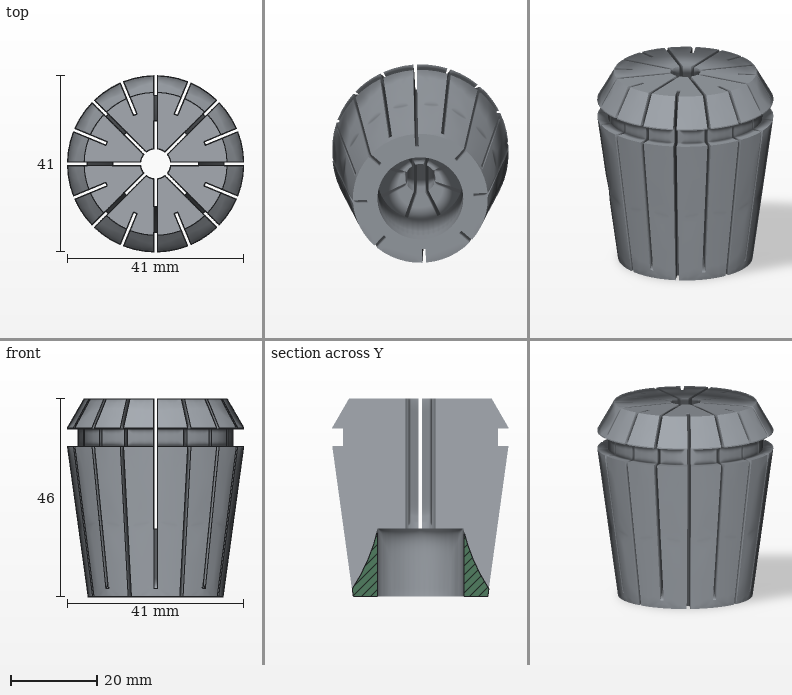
import cadquery as cq
import math


total_height = 46.0
body_height = 34.95
flange_bottom = 39.0
flange_rim = 0.28

bottom_radius = 15.7
rim_diameter = 41.0
rim_radius = rim_diameter / 2
groove_radius = 18.05
nose_half_angle = 30.0

grip_radius = 3.5
clearance_radius = 10.0
clearance_depth = 15.8

slit_width = 0.85
slits_per_set = 8
slit_pitch = 360 / slits_per_set
nose_slit_end_radius = 15.9
nose_slit_end_height = 1.9
saw_radius = 42.3
outer_slit_inner_radius = 12.37
slit_reach = rim_radius + 2.3


def collet_blank():
    nose_base = flange_bottom + flange_rim
    top_radius = rim_radius - (total_height - nose_base) * math.tan(math.radians(nose_half_angle))
    half_section = [
        (grip_radius, total_height),
        (grip_radius, clearance_depth),
        (clearance_radius, clearance_depth),
        (clearance_radius, 0),
        (bottom_radius, 0),
        (rim_radius, body_height),
        (groove_radius, body_height),
        (groove_radius, flange_bottom),
        (rim_radius, flange_bottom),
        (rim_radius, nose_base),
        (top_radius, total_height),
    ]
    return cq.Workplane("XZ").polyline(half_section).close().revolve(360, (0, 0), (0, 1))


def saw_arc_middle(start, end, radius):
    """Middle of the arc from start to end, bulging toward the axis and the small end."""
    run, rise = end[0] - start[0], end[1] - start[1]
    chord = math.hypot(run, rise)
    sagitta = radius - math.sqrt(radius**2 - (chord / 2) ** 2)
    middle_x = (start[0] + end[0]) / 2 - sagitta * rise / chord
    middle_z = (start[1] + end[1]) / 2 + sagitta * run / chord
    return middle_x, middle_z


def nose_slit():
    """Slit open at the nose; its floor is the arc of a saw, from the clearance bore to the taper."""
    floor_inner = (clearance_radius, clearance_depth)
    floor_outer = (nose_slit_end_radius, nose_slit_end_height)
    return (
        cq.Workplane("XZ")
        .moveTo(0, total_height)
        .lineTo(0, clearance_depth)
        .lineTo(*floor_inner)
        .threePointArc(saw_arc_middle(floor_outer, floor_inner, saw_radius), floor_outer)
        .lineTo(slit_reach, nose_slit_end_height)
        .lineTo(slit_reach, total_height)
        .close()
        .extrude(slit_width / 2, both=True)
    )


def outer_slit():
    """Full-height slit that stops short of the clearance bore."""
    return (
        cq.Workplane("XY")
        .box(slit_reach - outer_slit_inner_radius, slit_width, total_height, centered=(False, True, False))
        .translate((outer_slit_inner_radius, 0, 0))
    )


def rotated(body, angle):
    return body.rotate((0, 0, 0), (0, 0, 1), angle)


result = collet_blank()
for index in range(slits_per_set):
    result = result.cut(rotated(nose_slit(), index * slit_pitch))
    result = result.cut(rotated(outer_slit(), (index + 0.5) * slit_pitch))